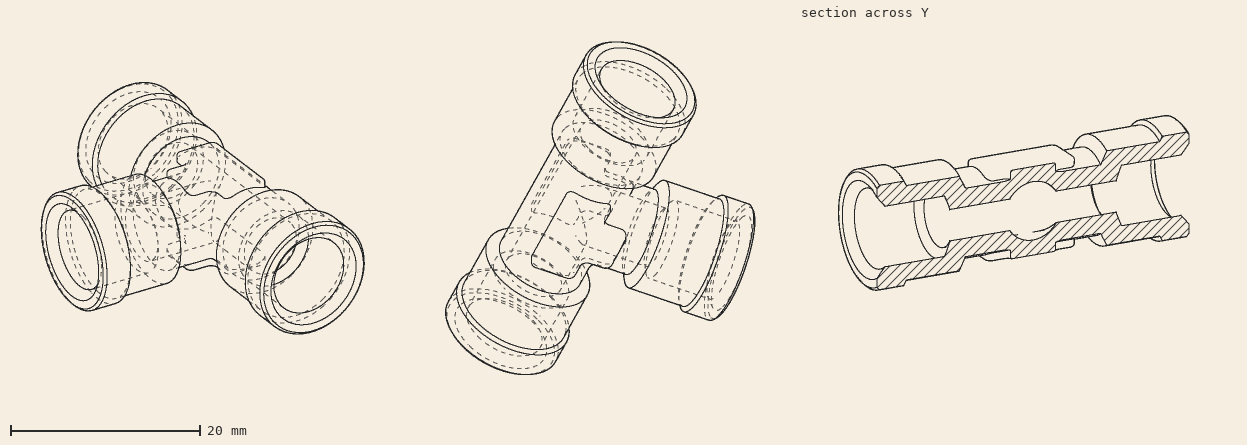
import cadquery as cq
import math


arm_length = 18.5
neck_radius = 4.75
body_radius = 6.0
collar_radius = 6.5
collar_length = 3.5
body_length = 10.5
shoulder_slope = math.tan(math.radians(60))
mouth_chamfer = 0.3

bore_radius = 3.25
socket_radius = 4.35
mouth_radius = 5.3
socket_depth = 8.0
socket_floor_slope = math.tan(math.radians(60))

crotch_radius = 1.0

pad_height = 5.0
pad_width = 10.6
pad_half_depth = 2.5
stem_width = 5.0
stem_end = 5.5
pad_corner_radius = 0.75
pad_edge_radius = 0.25

arm_directions = [cq.Vector(-1, 0, 0), cq.Vector(1, 0, 0), cq.Vector(0, -1, 0)]


def revolve_along(profile, direction):
    """Revolve (radius, distance from origin) points about an arm axis in the XY plane."""
    plane = cq.Plane(origin=(0, 0, 0), xDir=(0, 0, 1), normal=direction.cross(cq.Vector(0, 0, 1)))
    points = [(radius, -distance) for radius, distance in profile]
    return cq.Workplane(plane).polyline(points).close().revolve(360, (0, 0, 0), (0, 1, 0))


def socket_outside(direction):
    """Collar and body of one arm, with conical shoulders and a 45 degree mouth chamfer."""
    collar_back = arm_length - collar_length
    body_back = arm_length - body_length
    profile = [
        (0, body_back),
        (neck_radius, body_back),
        (body_radius, body_back + (body_radius - neck_radius) / shoulder_slope),
        (body_radius, collar_back),
        (collar_radius, collar_back + (collar_radius - body_radius) / shoulder_slope),
        (collar_radius, arm_length - mouth_chamfer),
        (collar_radius - mouth_chamfer, arm_length),
        (0, arm_length),
    ]
    return revolve_along(profile, direction)


def arm_cavity(direction):
    """Bore, socket with conical floor and 45 degree lead-in of one arm."""
    lead_in = mouth_radius - socket_radius
    floor_length = (socket_radius - bore_radius) / socket_floor_slope
    socket_floor = arm_length - socket_depth
    profile = [
        (0, 0),
        (bore_radius, 0),
        (bore_radius, socket_floor - floor_length),
        (socket_radius, socket_floor),
        (socket_radius, arm_length - lead_in),
        (mouth_radius, arm_length),
        (0, arm_length),
    ]
    return revolve_along(profile, direction)


def neck(direction):
    """Plain cylinder of one arm, from the origin to the back of its body."""
    length = arm_length - body_length
    return revolve_along([(0, 0), (neck_radius, 0), (neck_radius, length), (0, length)], direction)


def marking_pads():
    """T-shaped block through the tee whose two faces form the pads."""
    bar = cq.Workplane("XY").box(pad_width, 2 * pad_half_depth, 2 * pad_height)
    stem_length = stem_end + pad_half_depth
    stem = (
        cq.Workplane("XY")
        .center(0, pad_half_depth - stem_length / 2)
        .box(stem_width, stem_length, 2 * pad_height)
    )
    pads = bar.union(stem).edges("|Z").fillet(pad_corner_radius)
    return pads.faces("<Z or >Z").edges().fillet(pad_edge_radius)


def filleted_necks_with_pads():
    """Equal crossing cylinders with the pads, rounded along both crotch seams."""
    body = marking_pads()
    for direction in arm_directions:
        body = body.union(neck(direction))
    return body.edges("%ELLIPSE").fillet(crotch_radius)


result = filleted_necks_with_pads()
for arm_direction in arm_directions:
    result = result.union(socket_outside(arm_direction))
for arm_direction in arm_directions:
    result = result.cut(arm_cavity(arm_direction))